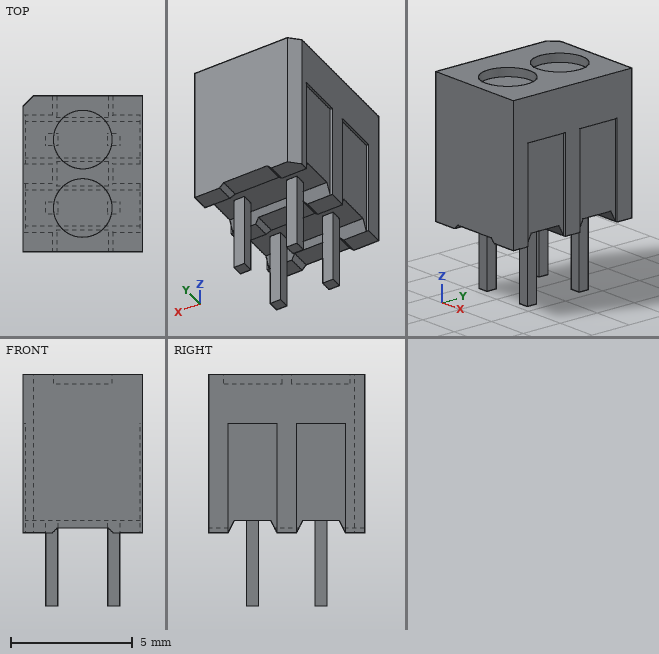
import cadquery as cq

width = 4.9
length = 6.4
height = 9.5

body_height = 6.5
pin_length = height - body_height
corner_chamfer = 0.43
pin_side = 0.5
pin_pitch_x = 2.54
cell_pitch = 2.8

pocket_diameter = 2.4
pocket_depth = 0.4

recess_width = 2.0
recess_top = body_height - 2.0
recess_depth = 0.1
notch_height = 0.5
notch_taper = 0.26

channel_width = 2.5
channel_height = 0.2

cell_centers = [-cell_pitch / 2, cell_pitch / 2]


def trapezoid_groove(plane, center, bottom_width, groove_height, taper, run):
    """Groove open at Z = 0, narrowing upward, centred along its run."""
    half_bottom = bottom_width / 2
    half_top = half_bottom - taper
    return (
        cq.Workplane(plane)
        .polyline([
            (center - half_bottom, 0),
            (center + half_bottom, 0),
            (center + half_top, groove_height),
            (center - half_top, groove_height),
        ])
        .close()
        .extrude(run / 2, both=True)
    )


def make_body():
    """Block with one chamfered vertical corner."""
    block = cq.Workplane("XY").box(width, length, body_height, centered=(True, True, False))
    return block.edges("|Z and <X and >Y").chamfer(corner_chamfer)


def side_recess(side, y):
    """Shallow recess, open at the bottom, in the -X (-1) or +X (1) wall."""
    return (
        cq.Workplane("XY")
        .center(side * (width - recess_depth) / 2, y)
        .box(recess_depth, recess_width, recess_top, centered=(True, True, False))
    )


def top_pocket(y):
    """Blind round pocket in the top face."""
    return (
        cq.Workplane("XY")
        .workplane(offset=body_height - pocket_depth)
        .center(0, y)
        .circle(pocket_diameter / 2)
        .extrude(pocket_depth)
    )


def pin(x, y):
    """Square pin reaching from the notch ceiling to below the body."""
    return (
        cq.Workplane("XY")
        .workplane(offset=-pin_length)
        .center(x, y)
        .rect(pin_side, pin_side)
        .extrude(pin_length + notch_height)
    )


result = make_body().cut(
    trapezoid_groove("XZ", 0, channel_width, channel_height, channel_height, length)
)

for cell_y in cell_centers:
    result = result.cut(top_pocket(cell_y))
    result = result.cut(
        trapezoid_groove("YZ", cell_y, recess_width, notch_height, notch_taper, width)
    )
    for wall in (-1, 1):
        result = result.cut(side_recess(wall, cell_y))

for cell_y in cell_centers:
    for pin_x in (-pin_pitch_x / 2, pin_pitch_x / 2):
        result = result.union(pin(pin_x, cell_y))